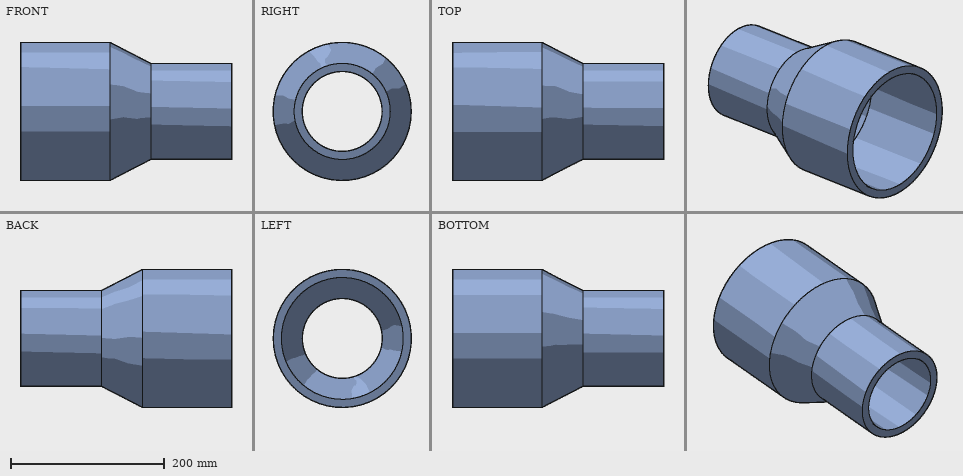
import cadquery as cq

total_length = 275.0
large_length = 116.3
cone_length = 53.4
cone_end = large_length + cone_length

large_outer_diameter = 180.0
large_bore_diameter = 158.7
small_outer_diameter = 125.0
small_bore_diameter = 103.7


def stepped_body(large_diameter, small_diameter):
    """Solid of revolution: large cylinder, cone, then small cylinder."""
    large_radius = large_diameter / 2
    small_radius = small_diameter / 2
    profile = (
        cq.Workplane("XY")
        .lineTo(0, large_radius)
        .lineTo(large_length, large_radius)
        .lineTo(cone_end, small_radius)
        .lineTo(total_length, small_radius)
        .lineTo(total_length, 0)
        .close()
    )
    return profile.revolve(360, (0, 0, 0), (1, 0, 0))


outer_body = stepped_body(large_outer_diameter, small_outer_diameter)
bore = stepped_body(large_bore_diameter, small_bore_diameter)
result = outer_body.cut(bore)